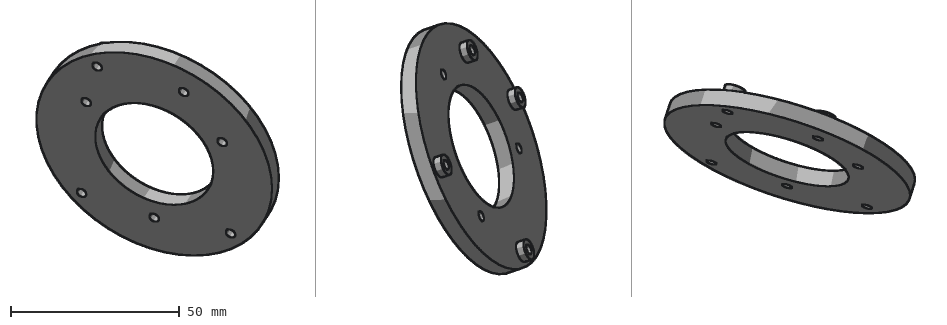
import cadquery as cq

plate_diameter = 76.2
bore_diameter = 38.1
total_depth = 7.6
boss_height = 2.5
plate_thickness = total_depth - boss_height

boss_diameter = 6.3
hole_diameter = 3.05
boss_centers = [(-18.45, 28.1), (9.5, 28.1), (-23.5, -24.0), (24.7, -22.7)]

mount_circle_radius = 25.4
mount_hole_count = 3
first_mount_angle = 30.0


def upright_plane(y):
    """XZ plane at the given Y; extrusions run toward -Y."""
    return cq.Workplane("XZ", origin=(0, y, 0))


def make_plate():
    return (
        upright_plane(plate_thickness)
        .circle(plate_diameter / 2)
        .circle(bore_diameter / 2)
        .extrude(plate_thickness)
    )


def make_bosses():
    return (
        upright_plane(total_depth)
        .pushPoints(boss_centers)
        .circle(boss_diameter / 2)
        .extrude(boss_height)
    )


def make_boss_holes():
    return (
        upright_plane(total_depth)
        .pushPoints(boss_centers)
        .circle(hole_diameter / 2)
        .extrude(total_depth)
    )


def make_mount_holes():
    return (
        upright_plane(total_depth)
        .polarArray(mount_circle_radius, first_mount_angle, 360, mount_hole_count)
        .circle(hole_diameter / 2)
        .extrude(total_depth)
    )


result = make_plate().union(make_bosses()).cut(make_boss_holes()).cut(make_mount_holes())